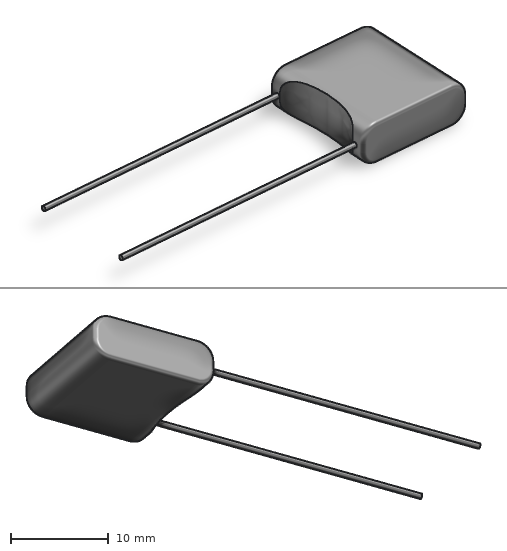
import cadquery as cq

housing_width = 14.5
housing_depth = 14.2
housing_height = 5.1
edge_flat_height = 1.1
long_edge_radius = (housing_height - edge_flat_height) / 2
end_edge_radius = 0.5

recess_half_width = 5.65
recess_depth = 1.5
rim_handle_x = 5.05
rim_handle_y = 0.85
crown_handle_x = 2.75

total_length = 45.95
lead_length = total_length - housing_depth
lead_diameter = 0.6
lead_spacing = 12.05


def make_recess_cutter():
    """Symmetric prism with two curved halves meeting at X = 0, as tall as the housing."""
    left_half = [
        (-recess_half_width, 0),
        (-rim_handle_x, rim_handle_y),
        (-crown_handle_x, recess_depth),
        (0, recess_depth),
    ]
    right_half = [(-x, y) for x, y in reversed(left_half)]
    return (
        cq.Workplane("XY")
        .workplane(offset=-housing_height / 2)
        .bezier(left_half)
        .bezier(right_half)
        .close()
        .extrude(housing_height)
    )


def make_housing():
    """Block with rounded edges and the curved recess."""
    block = cq.Workplane("XY").box(
        housing_width, housing_depth, housing_height, centered=(True, False, True)
    )
    block = block.edges("|X").fillet(long_edge_radius)
    block = block.faces("<X or >X").edges().fillet(end_edge_radius)
    return block.cut(make_recess_cutter())


def make_lead(x):
    """One wire, running toward -Y from the housing face."""
    return (
        cq.Workplane("XZ")
        .center(x, 0)
        .circle(lead_diameter / 2)
        .extrude(lead_length)
    )


housing = make_housing()
leads = [make_lead(side * lead_spacing / 2) for side in (-1, 1)]

result = cq.Compound.makeCompound([housing.val(), *[lead.val() for lead in leads]])